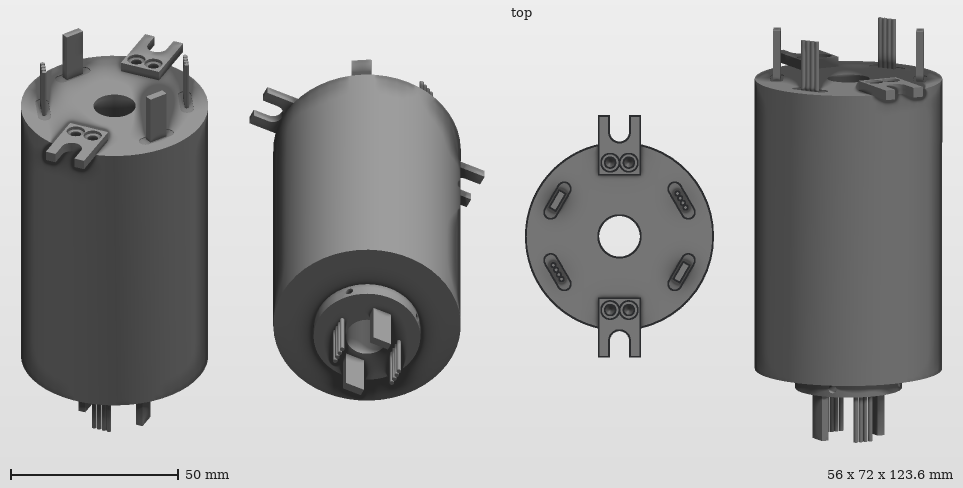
import cadquery as cq
import math

body_diameter = 56.0
body_height = 88.2
neck_diameter = 28.0
neck_height = 1.0
collar_diameter = 31.9
collar_height = 4.8
bore_diameter = 12.6
neck_bottom = -neck_height
collar_bottom = neck_bottom - collar_height

lug_outer_y = 36.0
lug_width = 12.5
lug_length = 17.6
lug_thickness = 3.0
fork_gap = 6.2
fork_depth = 7.9
screw_spacing = 5.6
screw_y = 22.0
counterbore_diameter = 5.5
counterbore_depth = 1.0
screw_hole_diameter = 3.2
screw_hole_depth = 7.4

set_screw_diameter = 2.5
set_screw_depth = 4.0
drill_point_angle = 118.0

slot_radius = 21.4
slot_length = 12.0
slot_width = 4.0
slot_depth = 0.2

lead_length = 14.8
lead_embed = 1.2
lead_height = lead_length + lead_embed
blade_width = 5.9
blade_thickness = 2.2
wire_diameter = 1.4
wire_pitch = 1.6
wire_count = 4
lower_lead_radius = 9.4

set_screw_angles = (45, 135, 225, 315)
blade_exit_angles = (150, 330)
wire_exit_angles = (30, 210)


def disc(diameter, bottom, height):
    return cq.Workplane("XY").workplane(offset=bottom).circle(diameter / 2).extrude(height)


def place(shape, radius, angle):
    """Move a shape built along Y out to a radius, then turn it about the Z axis."""
    return shape.translate((radius, 0, 0)).rotate((0, 0, 0), (0, 0, 1), angle)


def blade(bottom):
    plane = cq.Workplane("XY").workplane(offset=bottom)
    return plane.rect(blade_thickness, blade_width).extrude(lead_height)


def wire_row(bottom):
    plane = cq.Workplane("XY").workplane(offset=bottom)
    return plane.rarray(1.2, wire_pitch, 1, wire_count).circle(wire_diameter / 2).extrude(lead_height)


def drill(diameter, depth):
    """Cutter running down from Z = 0 to a conical drill point."""
    radius = diameter / 2
    point_height = radius / math.tan(math.radians(drill_point_angle / 2))
    profile = (
        cq.Workplane("XZ")
        .lineTo(radius, 0)
        .lineTo(radius, -depth)
        .lineTo(0, -depth - point_height)
        .close()
    )
    return profile.revolve(360, (0, 0, 0), (0, 1, 0))


def fork_lug():
    """Lug on the +Y side, its fork ending in a round root."""
    root_y = lug_outer_y - fork_depth + fork_gap / 2
    plane = cq.Workplane("XY").workplane(offset=body_height)
    lug = (
        plane.center(0, lug_outer_y - lug_length / 2)
        .rect(lug_width, lug_length)
        .extrude(lug_thickness)
    )
    gap = (
        plane.moveTo(-fork_gap / 2, lug_outer_y)
        .lineTo(-fork_gap / 2, root_y)
        .threePointArc((0, root_y - fork_gap / 2), (fork_gap / 2, root_y))
        .lineTo(fork_gap / 2, lug_outer_y)
        .close()
        .extrude(lug_thickness)
    )
    return lug.cut(gap)


def lug_screw_cutters():
    """Counterbored pair of screw holes through the +Y lug into the housing."""
    lug_top = body_height + lug_thickness
    cutters = cq.Workplane("XY")
    for x in (-screw_spacing / 2, screw_spacing / 2):
        head = disc(counterbore_diameter, lug_top - counterbore_depth, counterbore_depth)
        head = head.translate((x, screw_y, 0))
        hole = drill(screw_hole_diameter, lug_thickness + screw_hole_depth)
        hole = hole.translate((x, screw_y, lug_top))
        cutters = cutters.add(head).add(hole)
    return cutters.combine()


def set_screw_cutter(angle):
    cutter = drill(set_screw_diameter, set_screw_depth).rotate((0, 0, 0), (0, 1, 0), 90)
    cutter = cutter.translate((0, 0, neck_bottom - collar_height / 2))
    return place(cutter, collar_diameter / 2, angle)


def exit_slot():
    plane = cq.Workplane("XY").workplane(offset=body_height)
    return plane.slot2D(slot_length, slot_width, 90).extrude(-slot_depth)


result = disc(body_diameter, 0, body_height)
result = result.union(disc(neck_diameter, neck_bottom, neck_height))
result = result.union(disc(collar_diameter, collar_bottom, collar_height))
result = result.cut(disc(bore_diameter, collar_bottom, body_height - collar_bottom))

for angle in set_screw_angles:
    result = result.cut(set_screw_cutter(angle))

for angle in (0, 180):
    result = result.union(fork_lug().rotate((0, 0, 0), (0, 0, 1), angle))
    result = result.cut(lug_screw_cutters().rotate((0, 0, 0), (0, 0, 1), angle))

for angle in blade_exit_angles + wire_exit_angles:
    result = result.cut(place(exit_slot(), slot_radius, angle))
upper_lead_bottom = body_height - lead_embed
for angle in blade_exit_angles:
    result = result.union(place(blade(upper_lead_bottom), slot_radius, angle))
for angle in wire_exit_angles:
    result = result.union(place(wire_row(upper_lead_bottom), slot_radius, angle))

lower_lead_bottom = collar_bottom - lead_length
for angle in (0, 180):
    result = result.union(place(blade(lower_lead_bottom), lower_lead_radius, angle))
for angle in (90, 270):
    result = result.union(place(wire_row(lower_lead_bottom), lower_lead_radius, angle))